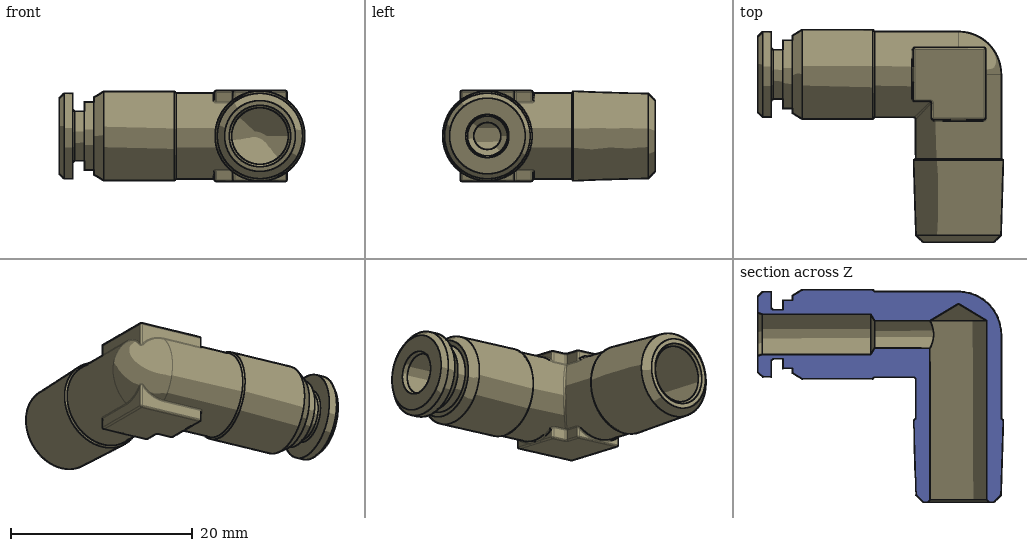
import cadquery as cq
import math


overall_length = 27.05
overall_height = 10.0
body_radius = 4.73
sleeve_radius = 4.92
thread_radius = 4.95
thread_end = 18.48

elbow_x = overall_length - thread_radius

flange_radius = 4.7
flange_face_radius = 4.17
flange_chamfer_length = 0.57
flange_thickness = 1.51
neck_radius = 2.73
neck_relief = 0.2
collar_radius = 3.75
collar_start = 2.79
sleeve_start = 3.85
sleeve_nose_radius = 4.27
sleeve_nose_end = 4.9
sleeve_end = 12.69
step_bevel = 0.2

shoulder_start = 9.25
thread_taper = 1 / 32
tip_chamfer_length = 0.78
tip_radius = 3.9

tube_bore_radius = 2.2
tube_mouth_radius = 2.38
mouth_chamfer_length = 0.55
tube_bore_depth = 12.45
passage_radius = 1.5
thread_bore_radius = 3.1
thread_mouth_radius = 3.38
drill_half_angle = math.radians(59)

pad_outer = 2.98
pad_reach = 4.98
pad_corner_radius = 0.2
pad_rim_radius = 0.2
pad_root_radius = 0.15
mitre_blend_radius = 0.2


def turned_along_x(points):
    """Revolve (distance, radius) points about the X axis."""
    return cq.Workplane("XY").polyline(points).close().revolve(360, (0, 0, 0), (1, 0, 0))


def turned_along_y(points):
    """Revolve (distance, radius) points about the Y axis, distance running to -Y."""
    outline = [(radius, -distance) for distance, radius in points]
    return cq.Workplane("XY").polyline(outline).close().revolve(360, (0, 0, 0), (0, 1, 0))


def pad_root_zone(side):
    """Select the edges between the elbow axes and the pad face on one Z side."""
    margin = 0.03
    low_corner = (-pad_reach - margin, -pad_reach - margin, side * margin)
    high_corner = (pad_outer + margin, pad_outer + margin, side * (overall_height / 2 - margin))
    return cq.selectors.BoxSelector(low_corner, high_corner)


def elbow_body():
    """Two plain arms with a ball corner and a padded top and bottom, all blended."""
    tube_arm_length = elbow_x - sleeve_end
    tube_arm = cq.Workplane("YZ").circle(body_radius).extrude(-tube_arm_length)
    thread_arm = cq.Workplane("XZ").circle(body_radius).extrude(shoulder_start)
    ball = cq.Workplane("XY").sphere(body_radius)
    arms = tube_arm.union(thread_arm).union(ball).edges("%ELLIPSE").fillet(mitre_blend_radius)
    pad_outline = [
        (-pad_reach, pad_outer),
        (pad_outer, pad_outer),
        (pad_outer, -pad_reach),
        (-pad_outer, -pad_reach),
        (-pad_outer, -pad_outer),
        (-pad_reach, -pad_outer),
    ]
    pads = (
        cq.Workplane("XY")
        .polyline(pad_outline)
        .close()
        .extrude(overall_height / 2, both=True)
        .edges("|Z")
        .fillet(pad_corner_radius)
    )
    padded_arms = arms.union(pads)
    roots = pad_root_zone(1) + pad_root_zone(-1) - cq.selectors.ParallelDirSelector(cq.Vector(0, 0, 1))
    return (
        padded_arms
        .edges(roots)
        .fillet(pad_root_radius)
        .faces("<Z or >Z")
        .edges()
        .fillet(pad_rim_radius)
    )


def tube_end():
    """Sleeve and release collar, with the free end at distance zero."""
    return turned_along_x([
        (0, 0),
        (0, flange_face_radius),
        (flange_chamfer_length, flange_radius),
        (flange_thickness, flange_radius),
        (flange_thickness, neck_radius + neck_relief),
        (flange_thickness + neck_relief, neck_radius),
        (collar_start, neck_radius),
        (collar_start, collar_radius),
        (sleeve_start, collar_radius),
        (sleeve_start, sleeve_nose_radius),
        (sleeve_nose_end, sleeve_radius),
        (sleeve_end, sleeve_radius),
        (sleeve_end + step_bevel, body_radius),
        (sleeve_end + step_bevel, 0),
    ])


def thread_end_shape():
    """Tapered end with a bevelled shoulder and a chamfered tip."""
    taper_start = shoulder_start + step_bevel
    taper_end = thread_end - tip_chamfer_length
    taper_end_radius = thread_radius - (taper_end - taper_start) * thread_taper
    return turned_along_y([
        (shoulder_start, 0),
        (shoulder_start, body_radius),
        (taper_start, thread_radius),
        (taper_end, taper_end_radius),
        (thread_end, tip_radius),
        (thread_end, 0),
    ])


def tube_bore():
    """Tube socket with a cone leading to the narrow passage into the other bore."""
    cone_length = (tube_bore_radius - passage_radius) / math.tan(drill_half_angle)
    return turned_along_x([
        (0, 0),
        (0, tube_mouth_radius),
        (mouth_chamfer_length, tube_bore_radius),
        (tube_bore_depth, tube_bore_radius),
        (tube_bore_depth + cone_length, passage_radius),
        (elbow_x, passage_radius),
        (elbow_x, 0),
    ])


def thread_bore():
    """Drilled bore that runs just past the passage and ends in a drill point."""
    bore_bottom = -passage_radius
    drill_point = bore_bottom - thread_bore_radius / math.tan(drill_half_angle)
    mouth_depth = thread_mouth_radius - thread_bore_radius
    return turned_along_y([
        (thread_end, 0),
        (thread_end, thread_mouth_radius),
        (thread_end - mouth_depth, thread_bore_radius),
        (bore_bottom, thread_bore_radius),
        (drill_point, 0),
    ])


to_free_end = (-elbow_x, 0, 0)
result = (
    elbow_body()
    .union(tube_end().translate(to_free_end))
    .union(thread_end_shape())
    .cut(tube_bore().translate(to_free_end))
    .cut(thread_bore())
)